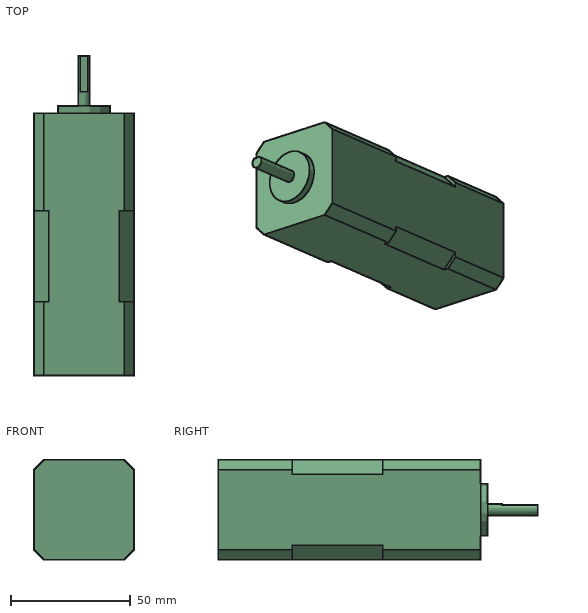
import cadquery as cq

BODY_WIDTH = 42.0
BODY_LENGTH = 110.0
CORNER_CHAMFER = 4.2

MIDDLE_CHAMFER = 6.2
FRONT_END_LENGTH = 41.0
REAR_END_LENGTH = 31.0
MIDDLE_LENGTH = BODY_LENGTH - FRONT_END_LENGTH - REAR_END_LENGTH

PILOT_DIAMETER = 22.0
PILOT_HEIGHT = 3.0

SHAFT_DIAMETER = 5.0
SHAFT_LENGTH = 24.0
FLAT_LENGTH = 15.0
FLAT_DEPTH = 0.5


def body_section(front_y, length, chamfer):
    """Square bar with chamfered long edges, running from front_y toward -Y."""
    return (
        cq.Workplane("XZ", origin=(0, front_y, 0))
        .rect(BODY_WIDTH, BODY_WIDTH)
        .extrude(length)
        .edges("|Y")
        .chamfer(chamfer)
    )


def front_cylinder(diameter, height):
    """Cylinder standing on the mounting face, pointing to +Y."""
    return cq.Workplane("XZ").circle(diameter / 2).extrude(-height)


def make_body():
    middle_front_y = -FRONT_END_LENGTH
    rear_front_y = middle_front_y - MIDDLE_LENGTH
    front_end = body_section(0, FRONT_END_LENGTH, CORNER_CHAMFER)
    middle = body_section(middle_front_y, MIDDLE_LENGTH, MIDDLE_CHAMFER)
    rear_end = body_section(rear_front_y, REAR_END_LENGTH, CORNER_CHAMFER)
    return front_end.union(middle).union(rear_end)


def make_shaft():
    """Round shaft with a flat on its +Z side at the free end."""
    flat_z = SHAFT_DIAMETER / 2 - FLAT_DEPTH
    flat_cut = cq.Workplane("XY").box(
        SHAFT_DIAMETER, FLAT_LENGTH, FLAT_DEPTH, centered=(True, False, False)
    ).translate((0, SHAFT_LENGTH - FLAT_LENGTH, flat_z))
    return front_cylinder(SHAFT_DIAMETER, SHAFT_LENGTH).cut(flat_cut)


pilot = front_cylinder(PILOT_DIAMETER, PILOT_HEIGHT)
result = make_body().union(pilot).union(make_shaft())